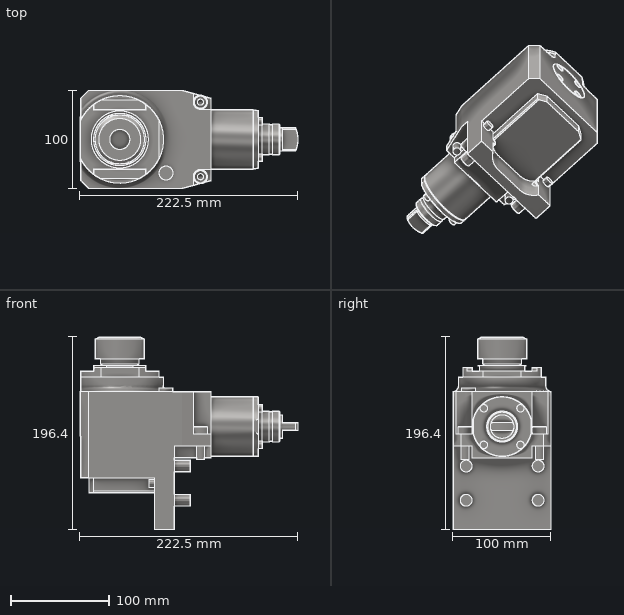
import cadquery as cq
import math


HALF_WIDTH = 50.0
BLOCK_LEFT = -40.0
BLOCK_RIGHT = 93.2
BLOCK_TOP = 35.5
BLOCK_BOTTOM = -52.3
CORNER_CHAMFER = 8.2
TAPER_START = 63.8
TAPER_END_HALF_WIDTH = 42.0
FLANGE_BOTTOM = -19.8
BELLY_BOTTOM = -32.0

LEG_LEFT = 35.4
LEG_RIGHT = 55.5
LEG_BOTTOM = -105.2
CHANNEL_HALF_WIDTH = 33.1
CHANNEL_DEPTH = 10.0
CHANNEL_RADIUS = 20.0
LEG_BOLT_Y = 36.7
LEG_BOLT_HEIGHTS = (-40.3, -75.2)
LEG_BOLT_RADIUS = 6.0
LEG_BOLT_LENGTH = 16.5
LEG_BOLT_HEAD_RADIUS = 7.8
LEG_BOLT_HEAD_CHAMFER = 1.0
PIN_Y = 43.4
PIN_Z = -58.0
PIN_RADIUS = 4.2
PIN_LENGTH = 5.5

COVER_LEFT = -31.5
COVER_BOTTOM = -67.6
COVER_HALF_WIDTH = 31.8
COVER_CORNER_X = 5.0
COVER_CORNER_Y = 8.7
COVER_EDGE_HEIGHT = 2.0
COVER_EDGE_WIDTH = 1.1

POCKET_FLOOR = -7.8
POCKET_RADIUS = 7.3
CORNER_BOLT_X = 82.3
CORNER_BOLT_Y = 38.0
BOLT_HEAD_RADIUS = 7.1
BOLT_HEAD_CHAMFER = 1.0
BOLT_HEAD_HEIGHT = 8.0
BOLT_SHANK_RADIUS = 4.0
BOLT_SHANK_END = -33.5
BOLT_SOCKET_RADIUS = 3.1
BOLT_SOCKET_DEPTH = 4.0

SHOULDER_RADIUS = 44.7
SHOULDER_TOP = 50.5
SHOULDER_FILLET = 6.0
PLATE_RADIUS = 44.5
PLATE_TOP = 56.5
PLATE_HALF_WIDTH = 40.0
RECESS_RADIUS = 29.1
RECESS_DEPTH = 2.2
COLLAR_RADIUS = 26.7
COLLAR_TOP = 62.5
COLLAR_LIP = 1.0
COLLAR_LIP_HALF_WIDTH = 24.5
COLLAR_FLAT_HALF_WIDTH = 23.1
NECK_RADIUS = 19.8
NECK_CHAMFER = 1.5
HEAD_RADIUS = 25.1
HEAD_BOTTOM = 69.0
HEAD_TOP = 91.2
HEAD_CHAMFER_WIDTH = 3.8
HEAD_CHAMFER_HEIGHT = 2.0
HEAD_BORE_RADIUS = 10.2
HEAD_BORE_DEPTH = 13.8
KEY_HALF_LENGTH = 26.7
KEY_INNER = 30.2
KEY_TOP = 60.3
KEY_CHAMFER = 0.5

BUTTON_X = 47.2
BUTTON_Y = -34.3
BUTTON_RADIUS = 7.1
BUTTON_HEIGHT = 4.0
DISC_Z = 13.0
DISC_RADIUS = 22.7
DISC_HEIGHT = 0.5
DISC_HOLE_OFFSET = 13.0
DISC_HOLE_RADIUS = 4.2

SLEEVE_RADIUS = 30.5
SLEEVE_END = 136.0
SLEEVE_GROOVE_WIDTH = 0.7
SLEEVE_GROOVE_DEPTH = 0.2
CAP_START = SLEEVE_END + SLEEVE_GROOVE_WIDTH
CAP_END = 141.5
CAP_FLAT_START_CUT = 0.2
CAP_FLAT_END_CUT = 1.1
CAP_SCREW_OFFSET = 18.7
CAP_SCREW_RADIUS = 3.8
CAP_SCREW_HEIGHT = 4.0
SHAFT_NECK_RADIUS = 15.1
SHAFT_NECK_END = 145.0
SHAFT_RADIUS = 15.8
SHAFT_END = 163.5
SHAFT_CHAMFER = 1.1
GROOVE_START = 152.4
GROOVE_END = 156.0
GROOVE_DEPTH = 0.7
TENON_RADIUS = 12.0
TENON_END = 166.1
TANG_END = 182.0
TANG_SHOULDER = 179.3
TANG_HALF_THICKNESS = 4.0
TANG_CHAMFER_WIDTH = 1.8
TANG_CHAMFER_HEIGHT = 0.7


def box(x_min, x_max, y_min, y_max, z_min, z_max):
    size = (x_max - x_min, y_max - y_min, z_max - z_min)
    return cq.Workplane("XY").box(*size, centered=False).translate((x_min, y_min, z_min))


def post(x, y, radius, z_min, z_max):
    """Cylinder along Z."""
    return cq.Workplane("XY", origin=(x, y, z_min)).circle(radius).extrude(z_max - z_min)


def rod(y, z, radius, x_min, x_max):
    """Cylinder along X."""
    return cq.Workplane("YZ", origin=(x_min, y, z)).circle(radius).extrude(x_max - x_min)


def make_block():
    outline = [
        (BLOCK_LEFT, -HALF_WIDTH + CORNER_CHAMFER),
        (BLOCK_LEFT + CORNER_CHAMFER, -HALF_WIDTH),
        (TAPER_START, -HALF_WIDTH),
        (BLOCK_RIGHT, -TAPER_END_HALF_WIDTH),
        (BLOCK_RIGHT, TAPER_END_HALF_WIDTH),
        (TAPER_START, HALF_WIDTH),
        (BLOCK_LEFT + CORNER_CHAMFER, HALF_WIDTH),
        (BLOCK_LEFT, HALF_WIDTH - CORNER_CHAMFER),
    ]
    prism = cq.Workplane("XY", origin=(0, 0, BLOCK_BOTTOM)).polyline(outline).close()
    prism = prism.extrude(BLOCK_TOP - BLOCK_BOTTOM)
    under_flange = box(LEG_RIGHT, BLOCK_RIGHT, -HALF_WIDTH, HALF_WIDTH, BLOCK_BOTTOM, FLANGE_BOTTOM)
    belly_half_width = CORNER_BOLT_Y - POCKET_RADIUS
    belly = box(LEG_LEFT, BLOCK_RIGHT, -belly_half_width, belly_half_width, BELLY_BOTTOM, FLANGE_BOTTOM)
    return prism.cut(under_flange).union(belly)


def make_leg():
    leg = box(LEG_LEFT, LEG_RIGHT, -HALF_WIDTH, HALF_WIDTH, LEG_BOTTOM, BLOCK_BOTTOM)
    curve_width = math.sqrt(CHANNEL_RADIUS**2 - (CHANNEL_RADIUS - CHANNEL_DEPTH) ** 2)
    floor_half_width = CHANNEL_HALF_WIDTH - curve_width
    floor_x = LEG_LEFT + CHANNEL_DEPTH
    half_angle = math.acos(1 - CHANNEL_DEPTH / CHANNEL_RADIUS) / 2
    middle_x = floor_x - CHANNEL_RADIUS * (1 - math.cos(half_angle))
    middle_y = floor_half_width + CHANNEL_RADIUS * math.sin(half_angle)
    channel = (
        cq.Workplane("XY", origin=(0, 0, LEG_BOTTOM))
        .moveTo(LEG_LEFT, -CHANNEL_HALF_WIDTH)
        .threePointArc((middle_x, -middle_y), (floor_x, -floor_half_width))
        .lineTo(floor_x, floor_half_width)
        .threePointArc((middle_x, middle_y), (LEG_LEFT, CHANNEL_HALF_WIDTH))
        .close()
        .extrude(BLOCK_BOTTOM - LEG_BOTTOM)
    )
    leg = leg.cut(channel)
    for side in (-1, 1):
        leg = leg.union(rod(side * PIN_Y, PIN_Z, PIN_RADIUS, LEG_LEFT - PIN_LENGTH, LEG_LEFT))
        bolt_y = side * LEG_BOLT_Y
        for z in LEG_BOLT_HEIGHTS:
            leg = leg.union(rod(bolt_y, z, LEG_BOLT_RADIUS, LEG_RIGHT, LEG_RIGHT + LEG_BOLT_LENGTH))
        head = rod(bolt_y, LEG_BOLT_HEIGHTS[-1], LEG_BOLT_HEAD_RADIUS, LEG_LEFT, LEG_RIGHT)
        leg = leg.union(head.faces("<X").chamfer(LEG_BOLT_HEAD_CHAMFER))
    return leg


def make_cover():
    section = [
        (-COVER_HALF_WIDTH, BLOCK_BOTTOM),
        (-COVER_HALF_WIDTH, COVER_BOTTOM + COVER_EDGE_HEIGHT),
        (-COVER_HALF_WIDTH + COVER_EDGE_WIDTH, COVER_BOTTOM),
        (COVER_HALF_WIDTH - COVER_EDGE_WIDTH, COVER_BOTTOM),
        (COVER_HALF_WIDTH, COVER_BOTTOM + COVER_EDGE_HEIGHT),
        (COVER_HALF_WIDTH, BLOCK_BOTTOM),
    ]
    length = LEG_LEFT + CHANNEL_DEPTH - COVER_LEFT
    cover = cq.Workplane("YZ", origin=(COVER_LEFT, 0, 0)).polyline(section).close().extrude(length)
    for side in (-1, 1):
        corner = [
            (COVER_LEFT, side * COVER_HALF_WIDTH),
            (COVER_LEFT + COVER_CORNER_X, side * COVER_HALF_WIDTH),
            (COVER_LEFT, side * (COVER_HALF_WIDTH - COVER_CORNER_Y)),
        ]
        wedge = cq.Workplane("XY", origin=(0, 0, COVER_BOTTOM)).polyline(corner).close()
        cover = cover.cut(wedge.extrude(BLOCK_BOTTOM - COVER_BOTTOM))
    return cover


def make_corner_pocket(side):
    """Open corner around a flange bolt, rounded where its two walls meet."""
    x = CORNER_BOLT_X
    y = side * CORNER_BOLT_Y
    inner_y = y - side * POCKET_RADIUS
    diagonal = POCKET_RADIUS / math.sqrt(2)
    return (
        cq.Workplane("XY", origin=(0, 0, POCKET_FLOOR))
        .moveTo(x - POCKET_RADIUS, side * HALF_WIDTH)
        .lineTo(x - POCKET_RADIUS, y)
        .threePointArc((x - diagonal, y - side * diagonal), (x, inner_y))
        .lineTo(BLOCK_RIGHT, inner_y)
        .lineTo(BLOCK_RIGHT, side * HALF_WIDTH)
        .close()
        .extrude(BLOCK_TOP - POCKET_FLOOR)
    )


def make_corner_bolt(side):
    x = CORNER_BOLT_X
    y = side * CORNER_BOLT_Y
    head_top = POCKET_FLOOR + BOLT_HEAD_HEIGHT
    bolt = post(x, y, BOLT_HEAD_RADIUS, POCKET_FLOOR, head_top).faces(">Z").chamfer(BOLT_HEAD_CHAMFER)
    bolt = bolt.union(post(x, y, BOLT_SHANK_RADIUS, BOLT_SHANK_END, POCKET_FLOOR))
    socket = cq.Solid.makeCone(
        0, BOLT_SOCKET_RADIUS, BOLT_SOCKET_DEPTH, cq.Vector(x, y, head_top - BOLT_SOCKET_DEPTH)
    )
    return bolt.cut(cq.Workplane(socket))


def make_shoulder():
    """Round shoulder with a concave foot and a squared plate, cut flush with the block."""
    foot_radius = SHOULDER_RADIUS + SHOULDER_FILLET
    arc_offset = SHOULDER_FILLET * (1 - math.sqrt(0.5))
    shoulder = (
        cq.Workplane("XZ")
        .moveTo(0, BLOCK_TOP)
        .lineTo(foot_radius, BLOCK_TOP)
        .threePointArc(
            (SHOULDER_RADIUS + arc_offset, BLOCK_TOP + arc_offset),
            (SHOULDER_RADIUS, BLOCK_TOP + SHOULDER_FILLET),
        )
        .lineTo(SHOULDER_RADIUS, SHOULDER_TOP)
        .lineTo(0, SHOULDER_TOP)
        .close()
        .revolve(360, (0, 0, 0), (0, 1, 0))
    )
    shoulder = shoulder.intersect(
        box(BLOCK_LEFT, foot_radius, -HALF_WIDTH, HALF_WIDTH, BLOCK_TOP, SHOULDER_TOP)
    )
    envelope = box(
        BLOCK_LEFT, PLATE_HALF_WIDTH, -PLATE_HALF_WIDTH, PLATE_HALF_WIDTH, SHOULDER_TOP, KEY_TOP
    )
    envelope = envelope.intersect(post(0, 0, PLATE_RADIUS, SHOULDER_TOP, KEY_TOP))
    plate = envelope.intersect(post(0, 0, PLATE_RADIUS, SHOULDER_TOP, PLATE_TOP))
    plate = plate.cut(post(0, 0, RECESS_RADIUS, PLATE_TOP - RECESS_DEPTH, PLATE_TOP))
    key = box(-KEY_HALF_LENGTH, KEY_HALF_LENGTH, KEY_INNER, HALF_WIDTH, PLATE_TOP, KEY_TOP)
    key = key.faces(">Z").chamfer(KEY_CHAMFER).intersect(envelope)
    return shoulder.union(plate).union(key).union(key.mirror("XZ"))


def make_spindle():
    foot = PLATE_TOP - RECESS_DEPTH
    collar = post(0, 0, COLLAR_RADIUS, foot, COLLAR_TOP)
    lip_bottom = COLLAR_TOP - COLLAR_LIP
    lip = box(
        -COLLAR_RADIUS, COLLAR_RADIUS, -COLLAR_LIP_HALF_WIDTH, COLLAR_LIP_HALF_WIDTH, lip_bottom, COLLAR_TOP
    )
    flats = box(
        -COLLAR_RADIUS, COLLAR_RADIUS, -COLLAR_FLAT_HALF_WIDTH, COLLAR_FLAT_HALF_WIDTH, foot, lip_bottom
    )
    collar = collar.intersect(lip.union(flats)).union(post(0, 0, COLLAR_RADIUS, foot, PLATE_TOP))
    profile = [
        (0, COLLAR_TOP),
        (NECK_RADIUS - NECK_CHAMFER, COLLAR_TOP),
        (NECK_RADIUS, COLLAR_TOP + NECK_CHAMFER),
        (NECK_RADIUS, HEAD_BOTTOM),
        (HEAD_RADIUS, HEAD_BOTTOM),
        (HEAD_RADIUS, HEAD_TOP - HEAD_CHAMFER_HEIGHT),
        (HEAD_RADIUS - HEAD_CHAMFER_WIDTH, HEAD_TOP),
        (0, HEAD_TOP),
    ]
    head = cq.Workplane("XZ").polyline(profile).close().revolve(360, (0, 0, 0), (0, 1, 0))
    return head.cut(post(0, 0, HEAD_BORE_RADIUS, HEAD_TOP - HEAD_BORE_DEPTH, HEAD_TOP)).union(collar)


def make_disc():
    disc = rod(0, DISC_Z, DISC_RADIUS, BLOCK_LEFT - DISC_HEIGHT, BLOCK_LEFT)
    for y in (-DISC_HOLE_OFFSET, DISC_HOLE_OFFSET):
        for z in (DISC_Z - DISC_HOLE_OFFSET, DISC_Z + DISC_HOLE_OFFSET):
            disc = disc.cut(rod(y, z, DISC_HOLE_RADIUS, BLOCK_LEFT - DISC_HEIGHT, BLOCK_LEFT))
    return disc


def make_tang():
    """Flat driving tang with round sides, chamfered edges and a crowned end."""
    chamfer_y = TENON_RADIUS - TANG_CHAMFER_WIDTH
    chamfer_z = TANG_HALF_THICKNESS - TANG_CHAMFER_HEIGHT
    outline = [
        (-TENON_RADIUS, -chamfer_z),
        (-chamfer_y, -TANG_HALF_THICKNESS),
        (chamfer_y, -TANG_HALF_THICKNESS),
        (TENON_RADIUS, -chamfer_z),
        (TENON_RADIUS, chamfer_z),
        (chamfer_y, TANG_HALF_THICKNESS),
        (-chamfer_y, TANG_HALF_THICKNESS),
        (-TENON_RADIUS, chamfer_z),
    ]
    section = cq.Workplane("YZ", origin=(SHAFT_END, 0, 0)).polyline(outline).close()
    section = section.extrude(TANG_END - SHAFT_END).intersect(rod(0, 0, TENON_RADIUS, SHAFT_END, TANG_END))
    crowned = (
        cq.Workplane("XY", origin=(0, 0, -TANG_HALF_THICKNESS))
        .moveTo(SHAFT_END, -TENON_RADIUS)
        .lineTo(TANG_SHOULDER, -TENON_RADIUS)
        .threePointArc((TANG_END, 0), (TANG_SHOULDER, TENON_RADIUS))
        .lineTo(SHAFT_END, TENON_RADIUS)
        .close()
        .extrude(2 * TANG_HALF_THICKNESS)
    )
    return section.intersect(crowned)


def make_drive():
    sleeve_side = [
        (BLOCK_RIGHT, 0),
        (BLOCK_RIGHT, SLEEVE_RADIUS),
        (SLEEVE_END, SLEEVE_RADIUS),
        (SLEEVE_END, SLEEVE_RADIUS - SLEEVE_GROOVE_DEPTH),
        (CAP_START, SLEEVE_RADIUS - SLEEVE_GROOVE_DEPTH),
        (CAP_START, SLEEVE_RADIUS),
        (CAP_END, SLEEVE_RADIUS),
        (CAP_END, SHAFT_NECK_RADIUS),
        (SHAFT_NECK_END, SHAFT_NECK_RADIUS),
        (SHAFT_NECK_END, SHAFT_RADIUS),
        (GROOVE_START, SHAFT_RADIUS),
    ]
    shaft_side = [
        (SHAFT_END - SHAFT_CHAMFER, SHAFT_RADIUS),
        (SHAFT_END, SHAFT_RADIUS - SHAFT_CHAMFER),
        (SHAFT_END, TENON_RADIUS),
        (TENON_END, TENON_RADIUS),
        (TENON_END, 0),
    ]
    groove_bottom = ((GROOVE_START + GROOVE_END) / 2, SHAFT_RADIUS - GROOVE_DEPTH)
    profile = cq.Workplane("XZ").polyline(sleeve_side)
    profile = profile.threePointArc(groove_bottom, (GROOVE_END, SHAFT_RADIUS))
    for point in shaft_side:
        profile = profile.lineTo(*point)
    drive = profile.close().revolve(360, (0, 0, 0), (1, 0, 0))
    for side in (-1, 1):
        flat = [
            (CAP_START, side * (SLEEVE_RADIUS - CAP_FLAT_START_CUT)),
            (CAP_END, side * (SLEEVE_RADIUS - CAP_FLAT_END_CUT)),
            (CAP_END, side * SLEEVE_RADIUS),
            (CAP_START, side * SLEEVE_RADIUS),
        ]
        wedge = cq.Workplane("XY", origin=(0, 0, -SLEEVE_RADIUS)).polyline(flat).close()
        drive = drive.cut(wedge.extrude(2 * SLEEVE_RADIUS))
    for y in (-CAP_SCREW_OFFSET, CAP_SCREW_OFFSET):
        for z in (-CAP_SCREW_OFFSET, CAP_SCREW_OFFSET):
            drive = drive.union(rod(y, z, CAP_SCREW_RADIUS, CAP_END, CAP_END + CAP_SCREW_HEIGHT))
    return drive.union(make_tang())


result = make_block().union(make_leg()).union(make_cover())
for bolt_side in (-1, 1):
    result = result.cut(make_corner_pocket(bolt_side)).union(make_corner_bolt(bolt_side))
result = result.union(make_shoulder()).union(make_spindle())
result = result.union(post(BUTTON_X, BUTTON_Y, BUTTON_RADIUS, BLOCK_TOP, BLOCK_TOP + BUTTON_HEIGHT))
result = result.union(make_disc()).union(make_drive())